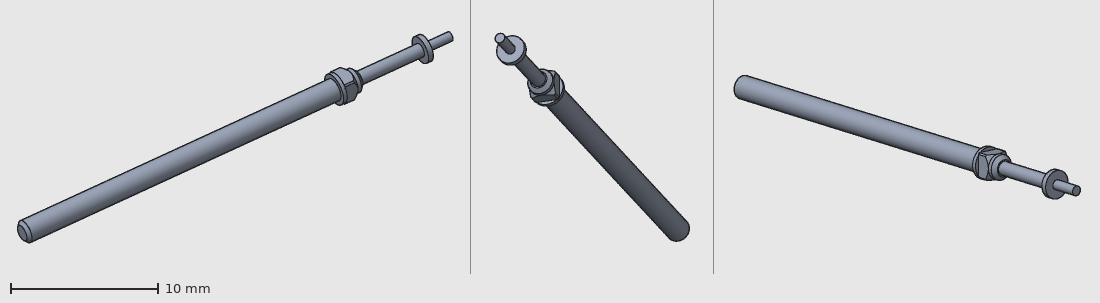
import cadquery as cq


total_length = 35.03
plunger_end_length = 9.5
barrel_length = total_length - plunger_end_length

barrel_diameter = 1.65
barrel_chamfer = 0.25

flange_diameter = 2.3
flange_thickness = 0.3

square_width = 1.8
square_length = 1.05
square_corner_diameter = 2.4

collar_length = 0.3
nose_length = 0.3

stem_diameter = 1.0
washer_diameter = 2.0
washer_thickness = 0.4
tip_diameter = 0.7
tip_length = 2.05

square_start = flange_thickness
square_end = square_start + square_length
collar_end = square_end + collar_length
nose_end = collar_end + nose_length
washer_end = plunger_end_length - tip_length
washer_start = washer_end - washer_thickness


def cylinder(diameter, start, end):
    """Cylinder on the Y axis from start to end."""
    axis_plane = cq.Plane(origin=(0, start, 0), xDir=(1, 0, 0), normal=(0, 1, 0))
    return cq.Workplane(axis_plane).circle(diameter / 2).extrude(end - start)


def revolved(points):
    """Solid turned about the Y axis from (radius, y) points."""
    return cq.Workplane("XY").polyline(points).close().revolve(360, (0, 0, 0), (0, 1, 0))


def barrel():
    """Long round barrel with a chamfered end."""
    return cylinder(barrel_diameter, -barrel_length, 0).faces("<Y").chamfer(barrel_chamfer)


def square_section():
    """Square bar trimmed by a turned envelope that rounds its corners and tapers its lead-in."""
    corner_radius = square_corner_diameter / 2
    lead_in_radius = square_width / 2
    lead_in_length = corner_radius - lead_in_radius
    envelope = revolved([
        (0, square_start),
        (corner_radius, square_start),
        (corner_radius, square_end - lead_in_length),
        (lead_in_radius, square_end),
        (0, square_end),
    ])
    bar = cq.Workplane("XY").box(square_width, square_length, square_width)
    bar = bar.translate((0, square_start + square_length / 2, 0))
    return bar.intersect(envelope)


def collar():
    """Round collar as wide as the square, ending in a 45 degree conical nose."""
    collar_radius = square_width / 2
    return revolved([
        (0, square_end),
        (collar_radius, square_end),
        (collar_radius, collar_end),
        (collar_radius - nose_length, nose_end),
        (0, nose_end),
    ])


sections = [
    cylinder(flange_diameter, 0, flange_thickness),
    square_section(),
    collar(),
    cylinder(stem_diameter, nose_end, washer_start),
    cylinder(washer_diameter, washer_start, washer_end),
    cylinder(tip_diameter, washer_end, plunger_end_length),
]

result = barrel()
for section in sections:
    result = result.union(section)